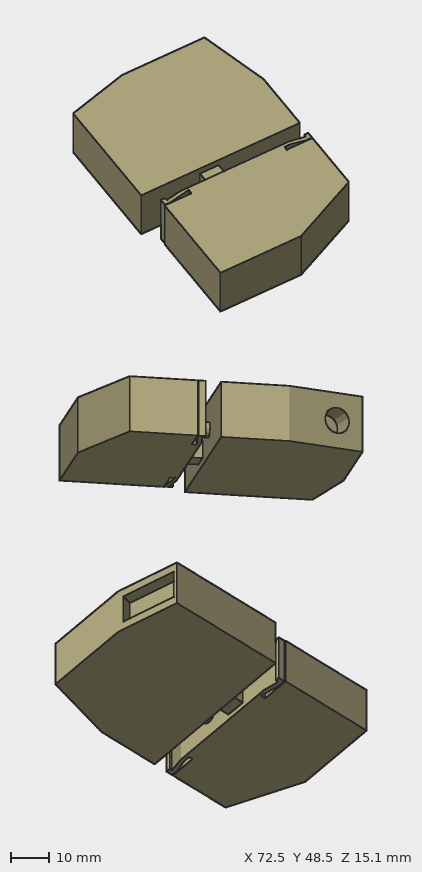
import cadquery as cq
import math

total_length = 72.5
total_depth = 48.5
height = 15.1

left_length = 38.6
front_slant_x = 4.8
front_slant_y = 17.9
back_slant_x = 20.5
back_slant_y = 43.1

right_start = 42.6
right_front_y = 3.3
corner_cut_x = 62.85
corner_cut_y = 28.0

latch_tip_x = 44.6
slot_back_x = 44.8
notch_x = 43.4

back_notch_y = 47.3
back_tip_inner_y = 46.6
back_arm_root_y = 42.6
back_slot_root_y = 42.5
back_slot_front_x = 43.65
back_slot_end_y = 40.7

latch_front_y = 3.55
front_hook_y = 4.65
front_notch_y = 4.9
front_tip_inner_y = 5.45
front_arm_root_y = 9.35
front_slot_front_x = 43.4
front_slot_end_y = 11.5

window_height = 9.35
window_far_y = 16.3
window_near_y = 0.95
window_depth = 3.0

hole_diameter = 6.9
hole_depth = 6.9
hole_y = 44.95

pin_diameter = 4.05
pin_y = 31.55
bar_width = 5.7
bar_y = 20.8
bar_stack_height = 11.2
bar_gap = 0.7
gap_z = -bar_gap / 2
link_overlap = 0.7


def slab(points):
    """Full-height prism, centred on the parting plane Z = 0."""
    return cq.Workplane("XY").polyline(points).close().extrude(height / 2, both=True)


def slanted_face(x, y, outward):
    """Plane at mid height on a slanted side, with its local X axis horizontal."""
    normal = cq.Vector(outward[0], outward[1], 0)
    along = cq.Vector(-outward[1], outward[0], 0)
    return cq.Workplane(cq.Plane(origin=(x, y, 0), xDir=along, normal=normal))


def left_housing():
    body = slab([
        (front_slant_x, 0),
        (left_length, 0),
        (left_length, total_depth),
        (back_slant_x, total_depth),
        (0, back_slant_y),
        (0, front_slant_y),
    ])

    front_slant_length = math.hypot(front_slant_x, front_slant_y)
    window_y = (window_near_y + window_far_y) / 2
    window_x = front_slant_x * (1 - window_y / front_slant_y)
    window_width = (window_far_y - window_near_y) * front_slant_length / front_slant_y
    window = (
        slanted_face(window_x, window_y, (-front_slant_y, -front_slant_x))
        .rect(window_width, window_height)
        .extrude(-window_depth)
    )

    back_slant_rise = total_depth - back_slant_y
    hole_x = back_slant_x * (hole_y - back_slant_y) / back_slant_rise
    hole = (
        slanted_face(hole_x, hole_y, (-back_slant_rise, back_slant_x))
        .circle(hole_diameter / 2)
        .extrude(-hole_depth)
    )
    return body.cut(window).cut(hole)


def right_housing():
    return slab([
        (slot_back_x, right_front_y),
        (total_length, right_front_y),
        (total_length, corner_cut_y),
        (corner_cut_x, total_depth),
        (slot_back_x, total_depth),
        (slot_back_x, back_slot_end_y),
        (back_slot_front_x, back_slot_end_y),
        (back_slot_front_x, back_slot_root_y),
        (latch_tip_x, back_tip_inner_y),
        (latch_tip_x, total_depth),
        (right_start, total_depth),
        (right_start, back_notch_y),
        (notch_x, back_notch_y),
        (right_start, back_arm_root_y),
        (right_start, front_arm_root_y),
        (notch_x, front_notch_y),
        (right_start, front_hook_y),
        (right_start, latch_front_y),
        (latch_tip_x, latch_front_y),
        (latch_tip_x, front_tip_inner_y),
        (front_slot_front_x, front_slot_end_y),
        (slot_back_x, front_slot_end_y),
    ])


def links():
    start = left_length - link_overlap
    length = right_start - left_length + 2 * link_overlap
    plane = cq.Workplane("YZ", origin=(start, 0, 0))
    pin = plane.center(pin_y, gap_z).circle(pin_diameter / 2).extrude(length)
    bars = plane.center(bar_y, 0).rect(bar_width, bar_stack_height).extrude(length)
    gap = plane.center(bar_y, gap_z).rect(bar_width, bar_gap).extrude(length)
    return pin.union(bars.cut(gap))


result = left_housing().union(right_housing()).union(links())